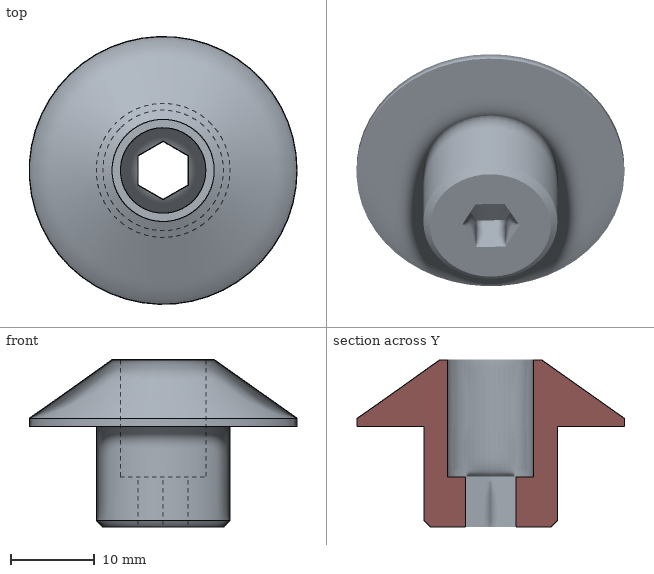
import cadquery as cq
import math

overall_height = 20.0
rim_diameter = 32.0
rim_thickness = 1.0
cone_height = 7.0
cone_top_diameter = 12.2
shank_diameter = 16.0
shank_chamfer = 0.8
bore_diameter = 10.2
hex_sides = 6
hex_across_flats = 6.0
hex_depth = 6.0

shank_length = overall_height - rim_thickness - cone_height
top_z = rim_thickness + cone_height
bottom_z = -shank_length
bore_floor_z = bottom_z + hex_depth
hex_across_corners = hex_across_flats / math.cos(math.pi / hex_sides)


def make_body():
    """Revolve the outer half-profile about the Z axis."""
    rim_radius = rim_diameter / 2
    shank_radius = shank_diameter / 2
    profile = (
        cq.Workplane("XZ")
        .moveTo(0, bottom_z)
        .lineTo(shank_radius - shank_chamfer, bottom_z)
        .lineTo(shank_radius, bottom_z + shank_chamfer)
        .lineTo(shank_radius, 0)
        .lineTo(rim_radius, 0)
        .lineTo(rim_radius, rim_thickness)
        .lineTo(cone_top_diameter / 2, top_z)
        .lineTo(0, top_z)
        .close()
    )
    return profile.revolve(360, (0, 0), (0, 1))


def make_bore():
    """Round bore from the top face down to its flat floor."""
    return (
        cq.Workplane("XY")
        .workplane(offset=bore_floor_z)
        .circle(bore_diameter / 2)
        .extrude(top_z - bore_floor_z)
    )


def make_hex_hole():
    """Hexagonal hole through the bore floor, with two corners along Y."""
    return (
        cq.Workplane("XY")
        .workplane(offset=bottom_z)
        .transformed(rotate=(0, 0, 90))
        .polygon(hex_sides, hex_across_corners)
        .extrude(hex_depth)
    )


result = make_body().cut(make_bore()).cut(make_hex_hole())